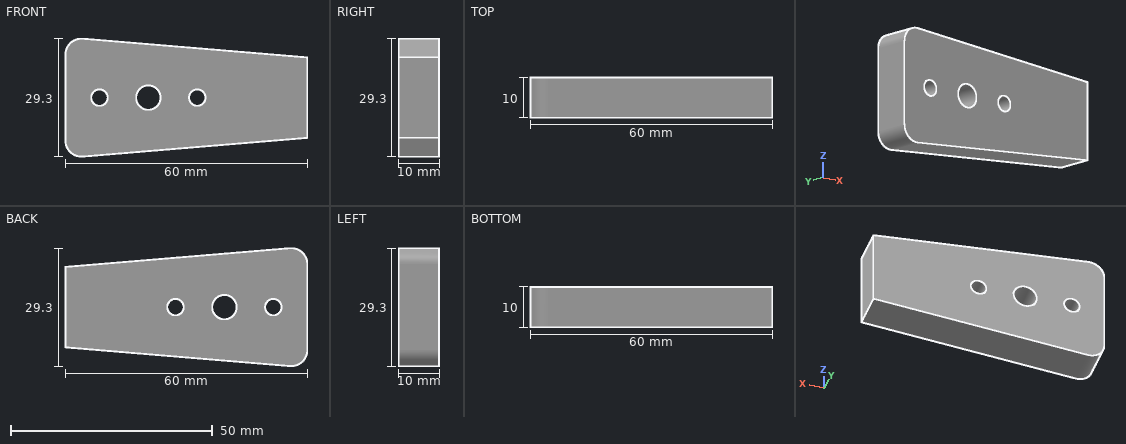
import cadquery as cq

length = 60.0
thickness = 10.0
wide_height = 30.0
narrow_height = 20.0
corner_radius = 4.0

center_hole_diameter = 6.0
side_hole_diameter = 4.0
center_hole_x = 20.6
side_hole_spacing = 12.1


def tapered_plate():
    """Symmetric tapered plate with both corners of the wide end rounded."""
    outline = [
        (0, -wide_height / 2),
        (length, -narrow_height / 2),
        (length, narrow_height / 2),
        (0, wide_height / 2),
    ]
    plate = cq.Workplane("XZ").polyline(outline).close().extrude(thickness / 2, both=True)
    return plate.edges("|Y and <X").fillet(corner_radius)


def hole_cutter(x, diameter):
    """Cylinder along Y that passes through the full plate thickness."""
    return cq.Workplane("XZ").center(x, 0).circle(diameter / 2).extrude(thickness, both=True)


result = tapered_plate().cut(hole_cutter(center_hole_x, center_hole_diameter))
for side in (-1, 1):
    hole_x = center_hole_x + side * side_hole_spacing
    result = result.cut(hole_cutter(hole_x, side_hole_diameter))